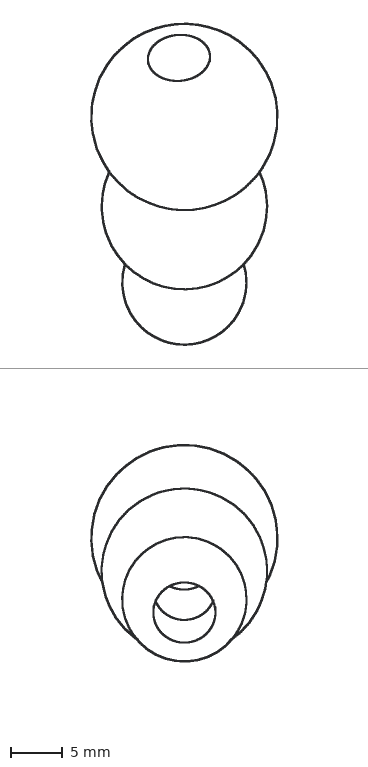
import cadquery as cq
import math

bore_diameter = 6.0
small_diameter = 12.0
middle_diameter = 16.0
large_diameter = 18.0
small_to_middle = 11.03
middle_to_large = 13.0
bore_top_shift_x = -0.5
bore_top_shift_y = -0.2
bore_overrun = 3.8

bore_radius = bore_diameter / 2
small_center = math.sqrt((small_diameter / 2) ** 2 - bore_radius**2)
middle_center = small_center + small_to_middle
large_center = middle_center + middle_to_large
bore_top = large_center + math.sqrt((large_diameter / 2) ** 2 - bore_radius**2)


def ball(diameter, center_z):
    """Full sphere centred on the Z axis."""
    return cq.Workplane("XY").sphere(diameter / 2).translate((0, 0, center_z))


def joint_height(lower_diameter, lower_center, upper_diameter, upper_center):
    """Z of the plane holding the circle where two neighbouring spheres cross."""
    spacing = upper_center - lower_center
    radius_term = (lower_diameter**2 - upper_diameter**2) / 4
    return lower_center + (spacing**2 + radius_term) / (2 * spacing)


def slab(bottom_z, top_z):
    """Block wider than every bead, between two heights."""
    width = 2 * large_diameter
    return cq.Workplane("XY").workplane(offset=bottom_z).rect(width, width).extrude(top_z - bottom_z)


def leaning_bore():
    """Straight cutter, centred at Z = 0 and shifted sideways at the top rim."""
    axis = cq.Vector(bore_top_shift_x, bore_top_shift_y, bore_top)
    start = axis.normalized() * -bore_overrun
    length = axis.Length + 2 * bore_overrun
    return cq.Workplane(cq.Solid.makeCylinder(bore_radius, length, start, axis))


def bead(diameter, center_z, bottom_z, top_z):
    """Sphere trimmed flat against its neighbours and pierced by the bore."""
    return ball(diameter, center_z).intersect(slab(bottom_z, top_z)).cut(bore)


bore = leaning_bore()
lower_joint = joint_height(small_diameter, small_center, middle_diameter, middle_center)
upper_joint = joint_height(middle_diameter, middle_center, large_diameter, large_center)
stack_top = large_center + large_diameter / 2

small_bead = bead(small_diameter, small_center, 0, lower_joint)
middle_bead = bead(middle_diameter, middle_center, lower_joint, upper_joint)
large_bead = bead(large_diameter, large_center, upper_joint, stack_top)

result = cq.Compound.makeCompound([small_bead.val(), middle_bead.val(), large_bead.val()])